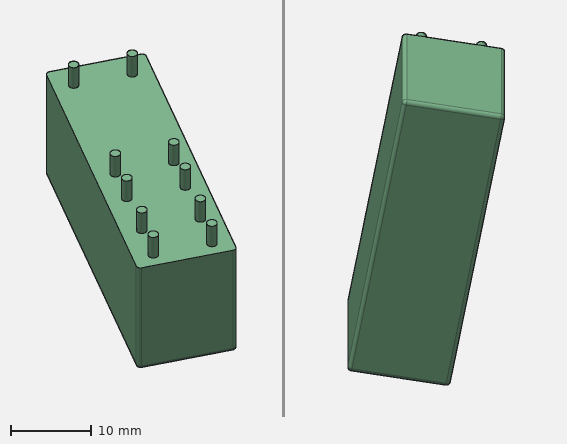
import cadquery as cq

length = 40.0
width = 13.0
total_height = 19.8
pin_height = 3.3
body_height = total_height - pin_height
edge_radius = 0.5

pin_diameter = 1.3
row_spacing = 7.65
first_pin_inset = 3.35
coil_to_contact_gap = 18.1
contact_pitch = 5.0
pair_gap = 6.5

first_pin_x = first_pin_inset - length / 2
inner_pair_x = first_pin_x + coil_to_contact_gap
outer_pair_x = inner_pair_x + contact_pitch + pair_gap
pin_columns = [
    first_pin_x,
    inner_pair_x,
    inner_pair_x + contact_pitch,
    outer_pair_x,
    outer_pair_x + contact_pitch,
]


def make_body():
    """Box standing on Z = 0, rounded on its upright and bottom edges."""
    box = cq.Workplane("XY").box(length, width, body_height, centered=(True, True, False))
    return box.edges("|Z or <Z").fillet(edge_radius)


def make_pins():
    """Round pins in both rows, starting at the top face of the body."""
    centres = [(x, side * row_spacing / 2) for x in pin_columns for side in (-1, 1)]
    top_face = cq.Workplane("XY").workplane(offset=body_height)
    return top_face.pushPoints(centres).circle(pin_diameter / 2).extrude(pin_height)


result = make_body().union(make_pins())